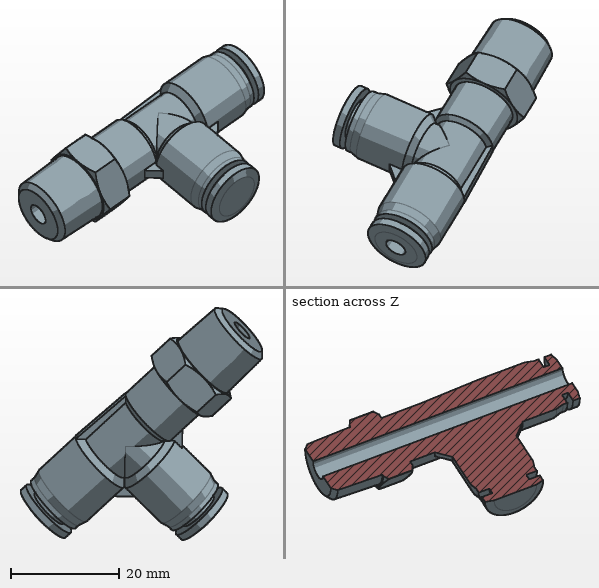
import cadquery as cq
import math

SOCKET_RADIUS = 6.5
RIM_RADIUS = 6.0
NECK_RADIUS = 3.85
CAP_FACE_RADIUS = 4.35
WAIST_RADIUS = 5.2
SHOULDER_END = SOCKET_RADIUS
BARREL_END = 15.95
RIM_START = 17.5
RIM_END = 18.45
CAP_START = 19.6
CAP_EDGE = 21.0
CAP_END = 21.45

OVERALL_LENGTH = 51.4
THREAD_END = CAP_END - OVERALL_LENGTH
SHANK_RADIUS = RIM_RADIUS
WAIST_END = -5.05
SHANK_START = -5.9
HEX_START = -13.9
HEX_END = -20.0
HEX_ACROSS_FLATS = 14.0
HEX_CHAMFER_ANGLE = 30.0
THREAD_RADIUS = 6.65
THREAD_TAPER = 1 / 16
THREAD_CHAMFER_LENGTH = 0.9
THREAD_TIP_RADIUS = 5.35
BORE_RADIUS = 2.0

WEB_THICKNESS = 2.05
UPPER_WEB_REACH = 15.5
LOWER_WEB_REACH = 14.9


def revolve_about_y(points):
    """Turn a closed (radius, y) outline about the Y axis."""
    return cq.Workplane("XY").polyline(points).close().revolve(360, (0, 0), (0, 1))


def make_socket():
    """Waist, shoulder, barrel and release cap, pointing along +Y from the origin."""
    return revolve_about_y([
        (0, 0),
        (WAIST_RADIUS, 0),
        (WAIST_RADIUS, WAIST_RADIUS),
        (SOCKET_RADIUS, SHOULDER_END),
        (SOCKET_RADIUS, BARREL_END),
        (RIM_RADIUS, RIM_START),
        (RIM_RADIUS, RIM_END),
        (NECK_RADIUS, RIM_END),
        (NECK_RADIUS, CAP_START),
        (RIM_RADIUS, CAP_START),
        (RIM_RADIUS, CAP_EDGE),
        (CAP_FACE_RADIUS, CAP_END),
        (0, CAP_END),
    ])


def make_stem():
    """Lower waist, shank and tapered thread."""
    chamfer_start = THREAD_END + THREAD_CHAMFER_LENGTH
    thread_end_radius = THREAD_RADIUS - (HEX_END - chamfer_start) * THREAD_TAPER / 2
    return revolve_about_y([
        (0, 0),
        (WAIST_RADIUS, 0),
        (WAIST_RADIUS, WAIST_END),
        (SHANK_RADIUS, SHANK_START),
        (SHANK_RADIUS, HEX_END),
        (THREAD_RADIUS, HEX_END),
        (thread_end_radius, chamfer_start),
        (THREAD_TIP_RADIUS, THREAD_END),
        (0, THREAD_END),
    ])


def make_hexagon():
    """Hexagon with corners on the X axis, both ends chamfered by a cone."""
    flat_radius = HEX_ACROSS_FLATS / 2
    corner_radius = flat_radius / math.cos(math.radians(30))
    chamfer = (corner_radius - flat_radius) * math.tan(math.radians(HEX_CHAMFER_ANGLE))
    prism = (
        cq.Workplane("XZ", origin=(0, HEX_START, 0))
        .polygon(6, 2 * corner_radius)
        .extrude(HEX_START - HEX_END)
    )
    envelope = revolve_about_y([
        (0, HEX_START),
        (flat_radius, HEX_START),
        (corner_radius, HEX_START - chamfer),
        (corner_radius, HEX_END + chamfer),
        (flat_radius, HEX_END),
        (0, HEX_END),
    ])
    return prism.intersect(envelope)


def make_web(points):
    """Flat web centred on the plane of the two axes."""
    return cq.Workplane("XY").polyline(points).close().extrude(WEB_THICKNESS / 2, both=True)


run_socket = make_socket()
branch_socket = make_socket().rotate((0, 0, 0), (0, 0, 1), -90)
corner_webs = make_web([
    (0, 0),
    (SHANK_RADIUS, SHANK_RADIUS - LOWER_WEB_REACH),
    (LOWER_WEB_REACH - SOCKET_RADIUS, -SOCKET_RADIUS),
    (UPPER_WEB_REACH - SOCKET_RADIUS, SOCKET_RADIUS),
    (SOCKET_RADIUS, UPPER_WEB_REACH - SOCKET_RADIUS),
])
back_web = make_web([
    (0, SHOULDER_END),
    (-SOCKET_RADIUS, SHOULDER_END),
    (-SHANK_RADIUS, SHANK_START),
    (0, SHANK_START),
])
bore = cq.Workplane("XZ", origin=(0, CAP_END, 0)).circle(BORE_RADIUS).extrude(OVERALL_LENGTH)

body = run_socket.union(make_stem()).union(branch_socket).union(make_hexagon())
result = body.union(corner_webs).union(back_web).cut(bore)